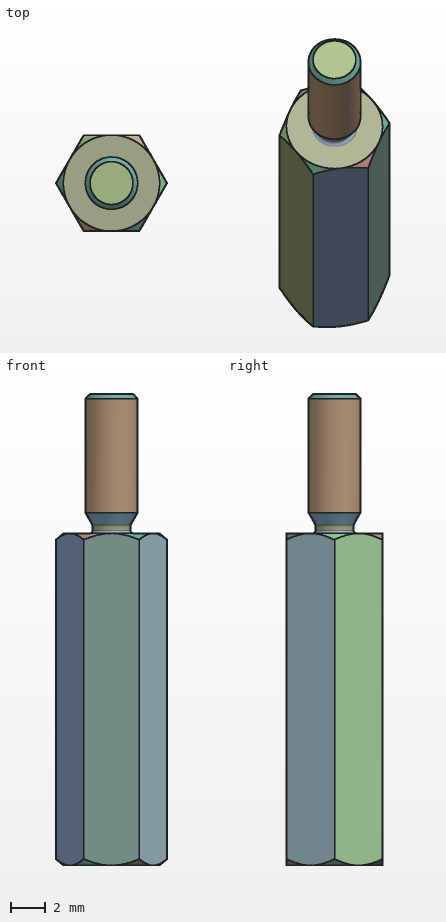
import cadquery as cq
import math

total_height = 27.0
body_height = 19.0
across_flats = 5.5
across_corners = across_flats / math.cos(math.pi / 6)

corner_chamfer_angle = math.radians(40)
corner_chamfer_width = (across_corners - across_flats) / 2
corner_chamfer_height = corner_chamfer_width * math.tan(corner_chamfer_angle)

stud_radius = 3.0 / 2
tip_radius = 2.45 / 2
tip_chamfer_height = stud_radius - tip_radius
neck_radius = 2.2 / 2
neck_fillet_radius = 0.2
radius_tolerance = 0.003
undercut_height = 1.2
undercut_angle = math.radians(30)
undercut_taper_height = (stud_radius - neck_radius) / math.tan(undercut_angle)


def make_body():
    """Hexagonal prism with corners along X, trimmed by a double-chamfered cylinder."""
    prism = cq.Workplane("XY").polygon(6, across_corners).extrude(body_height)
    envelope = (
        cq.Workplane("XY")
        .circle(across_corners / 2)
        .extrude(body_height)
        .faces("<Z or >Z")
        .chamfer(corner_chamfer_height, corner_chamfer_width)
    )
    return prism.intersect(envelope)


def make_stud():
    """Revolved stud: filleted neck, taper out to full diameter, chamfered tip."""
    undercut_top = body_height + undercut_height
    profile = (
        cq.Workplane("XZ")
        .moveTo(0, body_height)
        .lineTo(neck_radius, body_height)
        .lineTo(neck_radius, undercut_top - undercut_taper_height)
        .lineTo(stud_radius, undercut_top)
        .lineTo(stud_radius, total_height - tip_chamfer_height)
        .lineTo(tip_radius, total_height)
        .lineTo(0, total_height)
        .close()
    )
    return profile.revolve(360, (0, 0, 0), (0, 1, 0))


def round_neck(part):
    """Fillet both ends of the neck: at the body face and at the taper."""
    neck_edges = part.edges("%CIRCLE").filter(
        lambda edge: abs(edge.radius() - neck_radius) < radius_tolerance
    )
    return neck_edges.fillet(neck_fillet_radius)


result = round_neck(make_body().union(make_stud()))